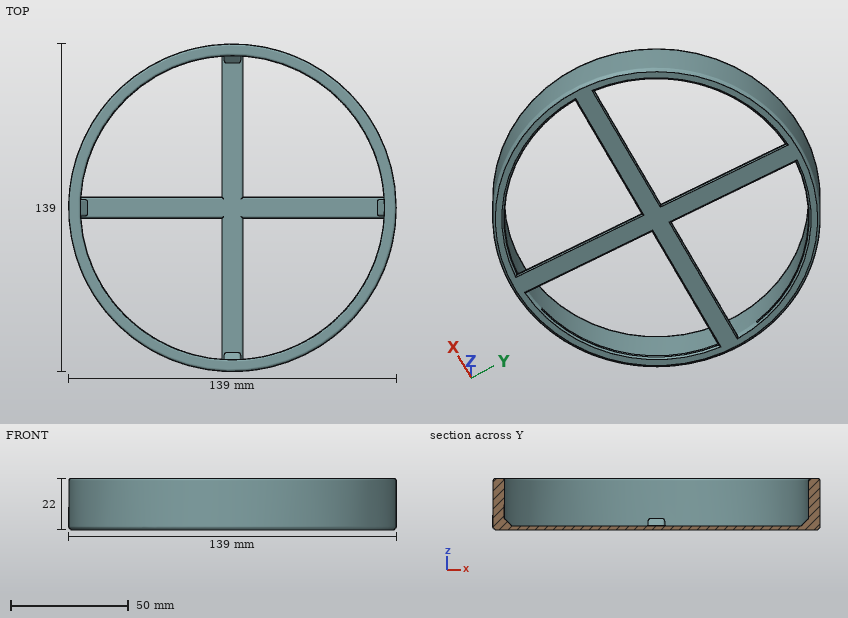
import cadquery as cq
outer_diameter = 139.0
inner_diameter = 129.0
ring_height = 22.0
edge_round = 1.0
ring_chamfer = 1.1

bar_width = 9.0
bar_thickness = 2.0
bar_chamfer = 0.5

wedge_size = 3.0
wedge_width = bar_width - 2 * edge_round

inner_radius = inner_diameter / 2
wall = (outer_diameter - inner_diameter) / 2
bar_length = inner_diameter + wall
wedge_embed = wall / 2


def make_ring():
    ring = cq.Workplane("XY").circle(outer_diameter / 2).circle(inner_radius).extrude(ring_height)
    ring = ring.faces(">Z").edges().fillet(edge_round)
    ring = ring.faces("<Z").edges().chamfer(ring_chamfer)
    return ring.faces("%CYLINDER").edges("%CIRCLE and <Z").fillet(edge_round)


def make_cross():
    bar = cq.Workplane("XY").box(bar_length, bar_width, bar_thickness, centered=(True, True, False))
    cross = bar.union(bar.rotate((0, 0, 0), (0, 0, 1), 90))
    cross = cross.faces(">Z").edges().fillet(edge_round)
    return cross.faces("<Z").edges().chamfer(bar_chamfer)


def make_wedge():
    """Wedge at the +X bar end: a 45 degree slope with rounded side edges, rising towards the ring."""
    back = inner_radius + wedge_embed
    top = bar_thickness + wedge_size
    wedge = (
        cq.Workplane("XZ")
        .moveTo(inner_radius - wedge_size, bar_thickness)
        .lineTo(inner_radius, top)
        .lineTo(back, top)
        .lineTo(back, 0)
        .lineTo(inner_radius - wedge_size, 0)
        .close()
        .extrude(wedge_width / 2, both=True)
    )
    slope = wedge.faces(cq.selectors.ParallelDirSelector(cq.Vector(-1, 0, 1)))
    return slope.edges("not(|Y)").fillet(edge_round)


result = make_ring().union(make_cross())
for quarter in range(4):
    result = result.union(make_wedge().rotate((0, 0, 0), (0, 0, 1), 90 * quarter))